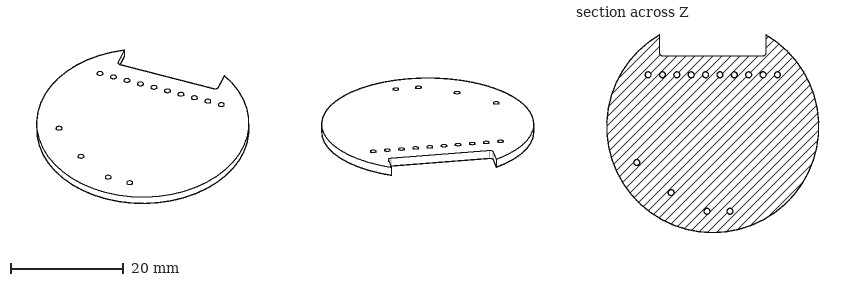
import cadquery as cq

board_diameter = 37.55
board_thickness = 1.58
notch_width = 18.8
notch_floor_y = 12.5
notch_corner_radius = 0.55

hole_diameter = 1.0
header_hole_count = 10
header_row_length = 22.85
header_row_y = 9.15
edge_hole_centers = [(-13.45, -6.35), (-7.35, -11.68), (-1.0, -15.0), (3.05, -15.0)]


def make_board():
    """Disc resting on the XY plane, centred on the Z axis."""
    return cq.Workplane("XY").circle(board_diameter / 2).extrude(board_thickness)


def make_notch_cutter():
    """Block that opens through the rim, with its two inner corners rounded."""
    notch_depth = board_diameter / 2 - notch_floor_y
    return (
        cq.Workplane("XY")
        .center(0, notch_floor_y + notch_depth / 2)
        .rect(notch_width, notch_depth)
        .extrude(board_thickness)
        .edges("|Z and <Y")
        .fillet(notch_corner_radius)
    )


def header_hole_centers():
    """Evenly spaced row of holes, centred in X below the notch."""
    pitch = header_row_length / (header_hole_count - 1)
    first_x = -header_row_length / 2
    return [(first_x + i * pitch, header_row_y) for i in range(header_hole_count)]


result = (
    make_board()
    .cut(make_notch_cutter())
    .faces(">Z")
    .workplane()
    .pushPoints(header_hole_centers() + edge_hole_centers)
    .hole(hole_diameter)
)